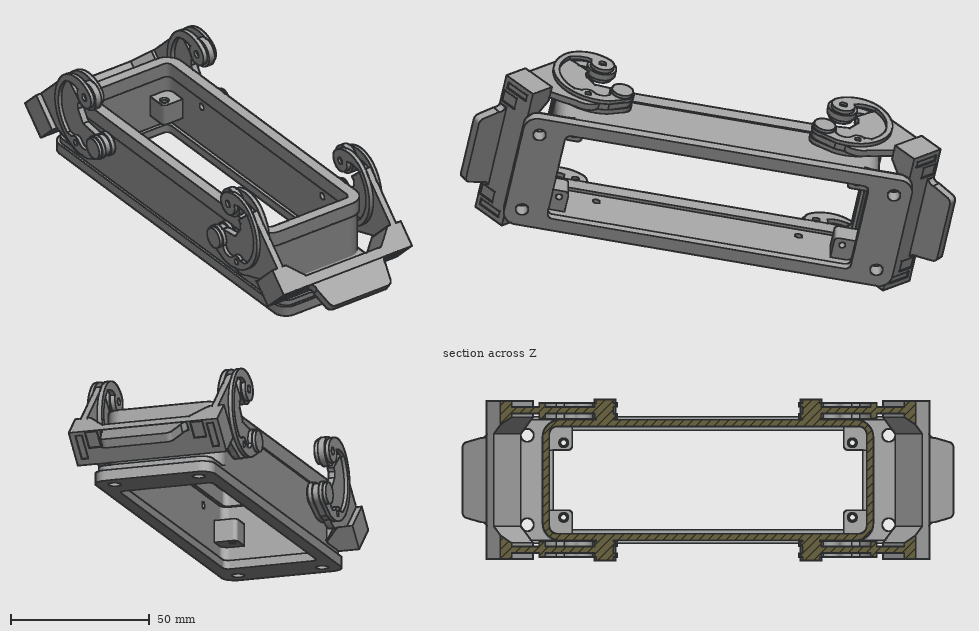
import cadquery as cq
import math

flange_length, flange_width, flange_height, flange_corner = 142.7, 45.7, 3.9, 5.0
step_length, step_top, step_corner = 140.5, 6.0, 4.2
lower_length, lower_width, lower_wall = 119.3, 43.5, 2.5
rim_length, rim_width, rim_wall = 120.4, 44.6, 4.2
rim_bottom, body_height = 23.5, 29.2
body_corner, foot_fillet = 6.4, 0.7
ledge_height, ledge_overhang = 3.2, 1.5
rim_cavity_corner, lower_cavity_corner = 2.1, 2.8
lug_inner_x, lug_inner_y = 48.8, 10.8
lug_hole_x, lug_hole_y, lug_hole, lug_sink = 52.0, 13.5, 2.3, 0.5
lug_bottom, lug_top, lug_corner = 8.5, 16.6, 1.6
mount_x, mount_y, mount_hole = 65.1, 16.1, 4.6

claw_inner, plate_inner, plate_outer, claw_outer = 22.1, 23.9, 26.4, 27.8
ring_x, ring_z, ring_outer, ring_inner = -45.8, 28.1, 16.5, 14.3
hook_x, hook_z, hook_radius, roller_radius = -44.2, 37.0, 4.2, 5.3
pivot_x, pivot_z, pivot_radius, pin_radius = -37.2, 19.3, 4.5, 3.9
button_outer = 29.0
pivot_bore, hook_bore, rivet_bore, bore_depth = 2.7, 2.7, 2.1, 1.0
rivet_x, rivet_z = -49.5, 15.0
arm_length = 32.2

bar_tilt = 45
bar_x, bar_z = -79.8, 16.6
bar_width, bar_depth = 57.0, 13.8
bar_end_thickness, bar_middle_thickness = 9.9, 3.7
bar_end_inner, bar_middle_half = 22.7, 16.6
recess_depth = 0.5
slot_recess = (1.6, 11.3, plate_inner, plate_outer)
square_recess = (0.5, 7.0, 17.9, 22.5)

tab_tilt, tab_thickness = 35, 3.4
tab_tip_x, tab_tip_z = -88.5, 10.5
tab_length, flare_start, flare_length, flare_sag = 11.5, 8.1, 2.7, 0.4
tab_tip_half, tab_neck_half, tab_root_half, tab_corner = 13.3, 15.2, 16.6, 2.1


def rounded_block(length, width, corner, bottom, top):
    """Upright block centred on Z with rounded vertical corners."""
    block = cq.Workplane("XY").workplane(offset=bottom).rect(length, width).extrude(top - bottom)
    return block.edges("|Z").fillet(corner)


def lower_body():
    """Step and lower walls; the fillet at the foot of the walls runs out at the flat sides."""
    spare = 7.0
    body = cq.Workplane("XY").rect(step_length + spare, lower_width + spare).extrude(step_top)
    body = body.union(rounded_block(lower_length, lower_width, body_corner, 0, rim_bottom))
    foot_edges = cq.selectors.BoxSelector(
        (-rim_length / 2, -rim_width / 2, step_top - foot_fillet),
        (rim_length / 2, rim_width / 2, step_top + foot_fillet),
    )
    body = body.edges(foot_edges).fillet(foot_fillet)
    return body.intersect(rounded_block(step_length, lower_width, step_corner, 0, rim_bottom))


def corner_lug():
    """Screw lug in the +X, +Y corner of the cavity, with a countersunk through hole."""
    size_x = lower_length / 2 - lower_wall - lug_inner_x
    size_y = lower_width / 2 - lower_wall - lug_inner_y
    lug = (
        cq.Workplane("XY", origin=(lug_inner_x, lug_inner_y, lug_bottom))
        .rect(size_x, size_y, centered=False)
        .extrude(lug_top - lug_bottom)
        .edges("|Z and <X and <Y")
        .fillet(lug_corner)
    )
    sink_edge = cq.selectors.NearestToPointSelector((lug_hole_x, lug_hole_y, lug_top))
    hole = cq.Workplane("XY").center(lug_hole_x, lug_hole_y).circle(lug_hole / 2).extrude(lug_top)
    return lug.cut(hole).faces(">Z").edges(sink_edge).chamfer(lug_sink)


def housing():
    frame = rounded_block(flange_length, flange_width, flange_corner, 0, flange_height)
    frame = frame.union(lower_body())
    frame = frame.union(rounded_block(rim_length, rim_width, body_corner, rim_bottom, body_height))

    cavity_length = lower_length - 2 * lower_wall
    cavity_width = lower_width - 2 * lower_wall
    frame = frame.cut(rounded_block(rim_length - 2 * rim_wall, rim_width - 2 * rim_wall,
                                    rim_cavity_corner, rim_bottom, body_height))
    frame = frame.cut(rounded_block(cavity_length, cavity_width,
                                    lower_cavity_corner, ledge_height, rim_bottom))
    frame = frame.cut(rounded_block(cavity_length - 2 * ledge_overhang, cavity_width - 2 * ledge_overhang,
                                    rim_cavity_corner, 0, ledge_height))

    lug_pair = corner_lug()
    lug_pair = lug_pair.union(lug_pair.mirror("XZ"))
    frame = frame.union(lug_pair).union(lug_pair.mirror("YZ"))
    mounts = cq.Workplane("XY").rect(2 * mount_x, 2 * mount_y, forConstruction=True).vertices()
    return frame.cut(mounts.circle(mount_hole / 2).extrude(step_top))


def side_plane(distance):
    """XZ sketch plane on the -Y side; extrusions grow outward."""
    return cq.Workplane("XZ", origin=(0, -distance, 0))


def disc(x, z, radius, inner, outer):
    return side_plane(inner).center(x, z).circle(radius).extrude(outer - inner)


def polar(x, z, radius, angle):
    a = math.radians(angle)
    return (x + radius * math.cos(a), z + radius * math.sin(a))


def ring_point(radius, angle):
    return polar(ring_x, ring_z, radius, angle)


def arm_point(along, across):
    """Point measured up the arm and down across it from the upper outer edge of the crossbar."""
    c, s = math.cos(math.radians(bar_tilt)), math.sin(math.radians(bar_tilt))
    return (bar_x + along * c + across * s, bar_z + along * s - across * c)


def sloped_plane(x, z, tilt):
    """Plane facing down and right, with its first axis rising at the tilt and its second along Y."""
    c, s = math.cos(math.radians(tilt)), math.sin(math.radians(tilt))
    return cq.Plane(origin=(x, 0, z), xDir=(c, 0, s), normal=(s, 0, -c))


def claw(inner, outer):
    """C-shaped plate from the hook, round the ring, to the pivot."""
    plate = (
        side_plane(inner)
        .moveTo(*polar(hook_x, hook_z, hook_radius, 50))
        .threePointArc((-49.2, 43.0), ring_point(ring_outer, 135))
        .threePointArc(ring_point(ring_outer, 210), ring_point(ring_outer, 285))
        .lineTo(*polar(pivot_x, pivot_z, pivot_radius, 300))
        .lineTo(pivot_x, pivot_z)
        .lineTo(-41.2, 17.7)
        .threePointArc((-44.2, 15.0), (-47.5, 16.3))
        .threePointArc((-49.5, 17.5), (-51.9, 16.6))
        .lineTo(*ring_point(ring_inner, 232))
        .threePointArc(ring_point(ring_inner, 180), ring_point(ring_inner, 136))
        .threePointArc((-53.0, 39.1), (-49.9, 39.1))
        .lineTo(hook_x, hook_z)
        .close()
        .extrude(outer - inner)
    )
    plate = plate.union(disc(hook_x, hook_z, hook_radius, inner, outer))
    return plate.union(disc(pivot_x, pivot_z, pivot_radius, inner, outer))


def middle_plate():
    """Straight arm from the crossbar, notched at its upper end and rounded below."""
    return (
        side_plane(plate_inner)
        .moveTo(*arm_point(bar_middle_thickness, 0))
        .lineTo(*arm_point(arm_length, 0))
        .lineTo(-49.0, 32.2)
        .lineTo(-50.0, 31.0)
        .lineTo(-50.0, 28.7)
        .lineTo(-46.9, 24.0)
        .lineTo(-39.1, 23.2)
        .lineTo(pivot_x, pivot_z)
        .lineTo(*polar(pivot_x, pivot_z, pin_radius, 300))
        .lineTo(*ring_point(ring_outer, 285))
        .lineTo(*ring_point(ring_outer, 272))
        .threePointArc((-49.5, 9.9), (-53.6, 11.0))
        .lineTo(*arm_point(bar_end_thickness, bar_depth))
        .lineTo(*arm_point(bar_middle_thickness, bar_depth))
        .close()
        .extrude(plate_outer - plate_inner)
    )


def lever_side():
    side = middle_plate()
    side = side.union(claw(claw_inner, plate_inner))
    side = side.union(claw(plate_outer, claw_outer))
    side = side.union(disc(hook_x, hook_z, roller_radius, plate_inner, plate_outer))
    pin_start = (lower_width - lower_wall) / 2
    side = side.union(disc(pivot_x, pivot_z, pin_radius, pin_start, button_outer))
    side = side.cut(disc(rivet_x, rivet_z, rivet_bore / 2, claw_outer - bore_depth, claw_outer))
    side = side.cut(disc(hook_x, hook_z, hook_bore / 2, claw_outer - bore_depth, claw_outer))
    return side.cut(disc(hook_x, hook_z, hook_bore / 2, claw_inner, claw_inner + bore_depth))


def bar_recess(start, end, inner, outer):
    """Shallow pocket in the outer face of the crossbar, placed down the face and along Y."""
    pocket = (
        cq.Workplane(sloped_plane(bar_x, bar_z, bar_tilt))
        .workplane(offset=start)
        .center(0, -outer)
        .rect(recess_depth, outer - inner, centered=False)
        .extrude(end - start)
    )
    return pocket.union(pocket.mirror("XZ"))


def crossbar():
    """U-shaped bar, thin in the middle and bevelled up to its thick ends."""
    half_outline = [
        (0, bar_width / 2),
        (bar_end_thickness, bar_width / 2),
        (bar_end_thickness, bar_end_inner),
        (bar_middle_thickness, bar_middle_half),
    ]
    outline = half_outline + [(u, -y) for u, y in reversed(half_outline)]
    bar = cq.Workplane(sloped_plane(bar_x, bar_z, bar_tilt)).polyline(outline).close().extrude(bar_depth)
    bar = bar.cut(bar_recess(*slot_recess))
    return bar.cut(bar_recess(*square_recess))


def finger_tab():
    """Tapered tab with rounded tip corners, flaring where it meets the crossbar."""
    flare_middle = (flare_start + flare_length * 2 / 3, tab_neck_half + flare_sag)
    flare_end = (flare_start + flare_length, tab_root_half)
    tab = (
        cq.Workplane(sloped_plane(tab_tip_x, tab_tip_z, tab_tilt))
        .moveTo(0, -tab_tip_half)
        .lineTo(flare_start, -tab_neck_half)
        .threePointArc((flare_middle[0], -flare_middle[1]), (flare_end[0], -flare_end[1]))
        .lineTo(tab_length, -tab_root_half)
        .lineTo(tab_length, tab_root_half)
        .lineTo(*flare_end)
        .threePointArc(flare_middle, (flare_start, tab_neck_half))
        .lineTo(0, tab_tip_half)
        .close()
        .extrude(tab_thickness)
    )
    return tab.faces("<X").edges("not |Y").fillet(tab_corner)


def lever():
    side = lever_side()
    return crossbar().union(finger_tab()).union(side).union(side.mirror("XZ"))


def pivot_bores():
    """Bores from the cavity through the side walls into the four pivots."""
    bore = disc(pivot_x, pivot_z, pivot_bore / 2, lug_inner_y, lower_width / 2)
    bore = bore.union(bore.mirror("XZ"))
    return bore.union(bore.mirror("YZ"))


left_lever = lever()
result = housing().union(left_lever).union(left_lever.mirror("YZ")).cut(pivot_bores())